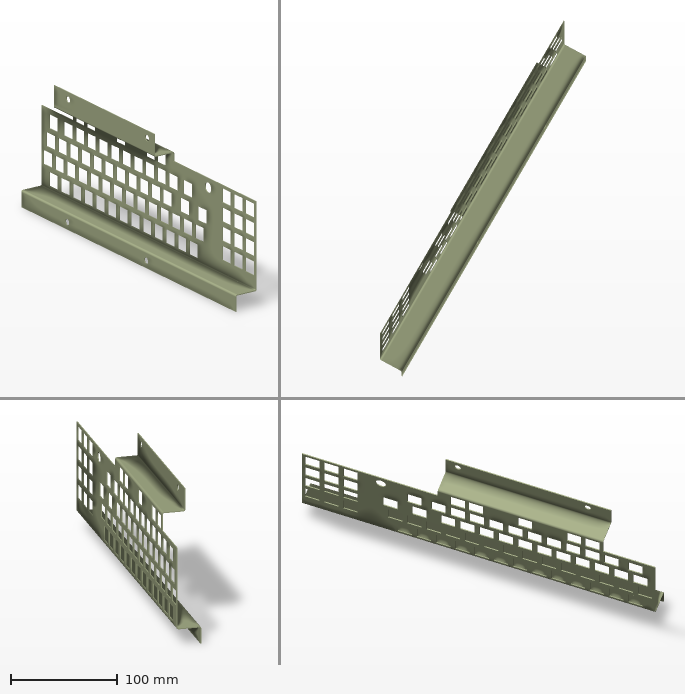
import cadquery as cq

width = 352.3
depth = 24.0
height = 136.7
thickness = 1.0
inner_bend_radius = 1.0
outer_bend_radius = inner_bend_radius + thickness

lower_shelf_top = 17.0
upper_shelf_bottom = 113.8
upper_flange_setback = 1.0

left_shoulder_height = 97.0
right_shoulder_height = 105.5
neck_left = 52.0
neck_right = 217.0

key_size = 14.0
edge_margin = 3.0
long_row_keys = 14
long_row_span = 249.0
pitch = long_row_span / (long_row_keys - 1)
first_key_x = edge_margin + key_size / 2
first_row_z = 27.0

main_rows = [
    {"start": 0.5, "count": 13, "apart": []},
    {"start": 0, "count": long_row_keys, "apart": []},
    {"start": 0.25, "count": 11, "apart": [11.75, 13.25]},
    {"start": 1.75, "count": 10, "apart": [0.5, 12]},
]

function_row_centre = 6.25
function_inner_offset = 49.0
function_outer_offset = 3.5 * pitch

pad_columns = 3
pad_rows = 4
pad_rise = 10.5
pad_right_x = width - edge_margin - key_size / 2

mount_diameter = 6.5
mount_xs = (75.5, 205.0)
mount_edge_distance = 7.5
round_diameter = 10.2
round_x = 273.7
round_z = 96.0


def folded_sheet():
    """Full-width sheet: lower flange, shelf, key plate, shelf and upper flange."""
    lower_front = -depth
    upper_front = -depth + upper_flange_setback
    lower_shelf_bottom = lower_shelf_top - thickness
    upper_shelf_top = upper_shelf_bottom + thickness

    lower_outer = (lower_front, lower_shelf_top)
    lower_inner = (lower_front + thickness, lower_shelf_bottom)
    plate_low_outer = (0, lower_shelf_bottom)
    plate_low_inner = (-thickness, lower_shelf_top)
    plate_high_outer = (0, upper_shelf_top)
    plate_high_inner = (-thickness, upper_shelf_bottom)
    upper_outer = (upper_front, upper_shelf_bottom)
    upper_inner = (upper_front + thickness, upper_shelf_top)

    section = [
        (lower_front, 0),
        lower_outer,
        plate_low_inner,
        plate_high_inner,
        upper_outer,
        (upper_front, height),
        (upper_front + thickness, height),
        upper_inner,
        plate_high_outer,
        plate_low_outer,
        lower_inner,
        (lower_front + thickness, 0),
    ]
    sheet = cq.Workplane("YZ").polyline(section).close().extrude(width)

    bends = [
        (inner_bend_radius, (lower_inner, plate_low_inner, plate_high_inner, upper_inner)),
        (outer_bend_radius, (lower_outer, plate_low_outer, plate_high_outer, upper_outer)),
    ]
    for radius, corners in bends:
        for y, z in corners:
            corner_edge = cq.selectors.NearestToPointSelector((width / 2, y, z))
            sheet = sheet.edges("|X").edges(corner_edge).fillet(radius)
    return sheet


def shoulder_cut(left, right, bottom):
    """Block that removes the sheet above a shoulder."""
    block = cq.Workplane("XY").box(right - left, depth, height - bottom, centered=False)
    return block.translate((left, -depth, bottom))


def key_row(row, columns):
    """Centres of keys in a row, with columns in pitches from the longest row's first key."""
    return [(first_key_x + column * pitch, first_row_z + row * pitch) for column in columns]


def main_keys():
    """Centres of the four staggered main rows, from the bottom up."""
    centres = []
    for row, keys in enumerate(main_rows):
        run = [keys["start"] + i for i in range(keys["count"])]
        centres += key_row(row, run + keys["apart"])
    return centres


def function_keys():
    """Centres of the five keys in the neck."""
    middle, z = key_row(len(main_rows), [function_row_centre])[0]
    offsets = (
        -function_outer_offset,
        -function_inner_offset,
        0,
        function_inner_offset,
        function_outer_offset,
    )
    return [(middle + offset, z) for offset in offsets]


def pad_keys():
    """Centres of the number pad grid."""
    return [
        (pad_right_x - column * pitch, first_row_z + pad_rise + row * pitch)
        for column in range(pad_columns)
        for row in range(pad_rows)
    ]


key_cutters = (
    cq.Workplane("XZ")
    .pushPoints(main_keys() + function_keys() + pad_keys())
    .rect(key_size, key_size)
    .extrude(thickness)
)
mount_centres = [(x, z) for x in mount_xs for z in (mount_edge_distance, height - mount_edge_distance)]
mount_cutters = cq.Workplane("XZ").pushPoints(mount_centres).circle(mount_diameter / 2).extrude(depth)
round_cutter = cq.Workplane("XZ").center(round_x, round_z).circle(round_diameter / 2).extrude(thickness)

result = (
    folded_sheet()
    .cut(shoulder_cut(0, neck_left, left_shoulder_height))
    .cut(shoulder_cut(neck_right, width, right_shoulder_height))
    .cut(key_cutters)
    .cut(mount_cutters)
    .cut(round_cutter)
)